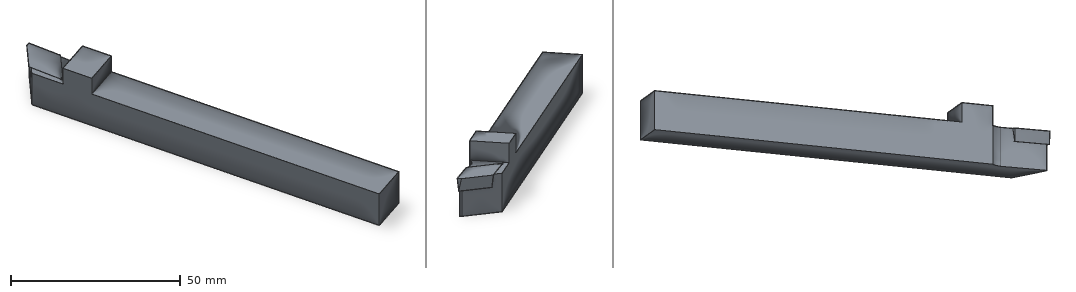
import cadquery as cq
import math

LENGTH = 125.0
WIDTH = 12.0
HEIGHT = 12.0
BLOCK_START = 18.1
BLOCK_LENGTH = 9.8
BLOCK_HEIGHT = 6.0

INSERT_LENGTH = 11.9
INSERT_FRONT = 11.6
INSERT_THICKNESS = 4.0
RELIEF_ANGLE = 7.0
TIP_ANGLE = 55.0
SIDE_TILT = 2.6
TIP_X = -0.9
TIP_Y = WIDTH - TIP_X * math.tan(math.radians(SIDE_TILT))

FRONT_CORNER_X = 7.6
NOSE_FLAT_Y = 10.8
SIDE_CLEARANCE_Y = 11.4
RUNOUT_START = 15.2
RUNOUT_SAG = 0.2

tilt = math.radians(SIDE_TILT)
front_slope = math.radians(SIDE_TILT + TIP_ANGLE)


def make_sharp_insert():
    """Tapered parallelogram with all four corners sharp, top face level with the shank."""
    side_step = (INSERT_LENGTH * math.cos(tilt), -INSERT_LENGTH * math.sin(tilt))
    front_step = (INSERT_FRONT * math.cos(front_slope), -INSERT_FRONT * math.sin(front_slope))
    corners = [
        (TIP_X, TIP_Y),
        (TIP_X + side_step[0], TIP_Y + side_step[1]),
        (TIP_X + side_step[0] + front_step[0], TIP_Y + side_step[1] + front_step[1]),
        (TIP_X + front_step[0], TIP_Y + front_step[1]),
    ]
    outline = cq.Workplane("XY").workplane(offset=HEIGHT).polyline(corners).close()
    return outline.extrude(-INSERT_THICKNESS, taper=RELIEF_ANGLE)


def make_insert(sharp_insert):
    """Cut both acute corners flat, square to X."""
    bounds = sharp_insert.val().BoundingBox()
    flat_length = bounds.xlen + 2 * TIP_X
    between_flats = (
        cq.Workplane("XY")
        .box(flat_length, 2 * WIDTH, 2 * HEIGHT, centered=(False, True, False))
    )
    return sharp_insert.intersect(between_flats)


def make_shank(sharp_insert):
    nose_x = FRONT_CORNER_X - NOSE_FLAT_Y / math.tan(front_slope)
    runout_y = SIDE_CLEARANCE_Y - (RUNOUT_START - nose_x) * math.tan(tilt)
    runout_middle = (
        (RUNOUT_START + BLOCK_START) / 2,
        (runout_y + WIDTH) / 2 - RUNOUT_SAG,
    )
    bar = (
        cq.Workplane("XY")
        .moveTo(FRONT_CORNER_X, 0)
        .lineTo(LENGTH, 0)
        .lineTo(LENGTH, WIDTH)
        .lineTo(BLOCK_START, WIDTH)
        .threePointArc(runout_middle, (RUNOUT_START, runout_y))
        .lineTo(nose_x, SIDE_CLEARANCE_Y)
        .lineTo(nose_x, NOSE_FLAT_Y)
        .close()
        .extrude(HEIGHT)
    )
    block = (
        cq.Workplane("XY")
        .box(BLOCK_LENGTH, WIDTH, HEIGHT + BLOCK_HEIGHT, centered=False)
        .translate((BLOCK_START, 0, 0))
    )
    return bar.union(block).cut(sharp_insert)


sharp_insert = make_sharp_insert()
insert = make_insert(sharp_insert)
shank = make_shank(sharp_insert)

result = cq.Compound.makeCompound([*shank.solids().vals(), *insert.solids().vals()])